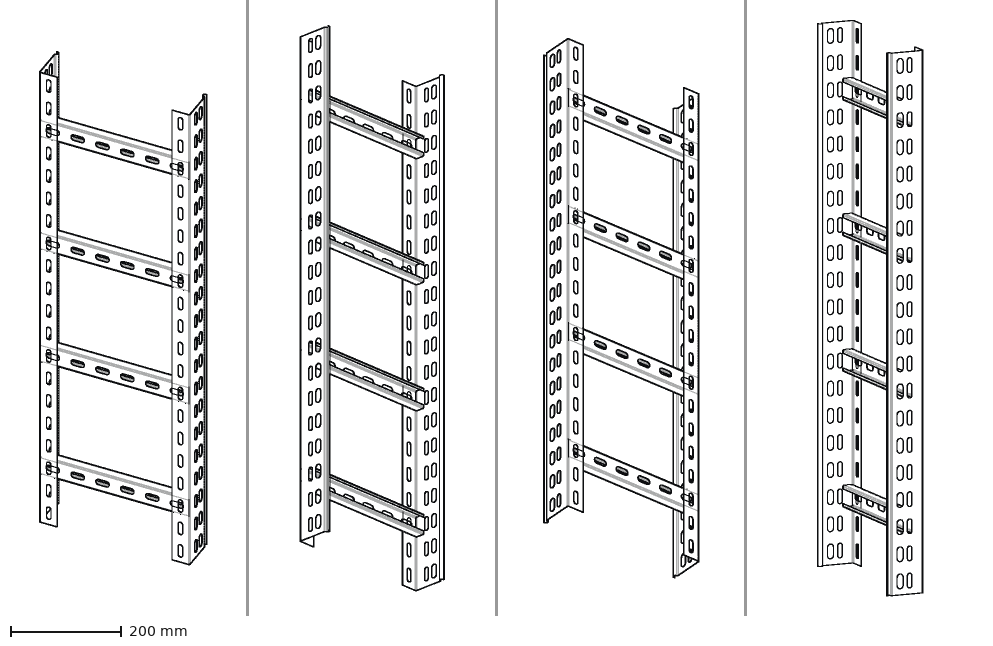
import cadquery as cq
import math

LENGTH = 1000.0
WIDTH = 303.0
DEPTH = 72.0
SHEET = 1.5

SLOT_PITCH = 50.0
SLOT_LENGTH = 27.0
SLOT_COUNT = round(LENGTH / SLOT_PITCH)
RUNG_PITCH = 5 * SLOT_PITCH
RUNG_COUNT = 4

OUTER_X = WIDTH / 2
FRONT_Y = -DEPTH / 2
FLANGE_WIDTH = 36.0
RAIL_BEND_RADIUS = 2.5
FLANGE_SLOT_INSET = 19.0
FLANGE_SLOT_WIDTH = 9.0
NARROW_SLOT_WIDTH = 9.0
WIDE_SLOT_WIDTH = 12.0
NARROW_SLOT_INSET = 27.0
WIDE_SLOT_INSET = 46.0

NECK_RADIUS = 3.0
NECK_ANGLE = 85
CURL_RADIUS = 4.5
CURL_END = 120
CURL_BORE = CURL_RADIUS - SHEET
NECK_TO_CURL = NECK_RADIUS + CURL_BORE
CURL_Y = DEPTH / 2 - CURL_RADIUS
NECK_CENTRE = (
    -OUTER_X + NECK_RADIUS,
    CURL_Y - NECK_TO_CURL * math.sin(math.radians(NECK_ANGLE)),
)
CURL_CENTRE = (
    NECK_CENTRE[0] - NECK_TO_CURL * math.cos(math.radians(NECK_ANGLE)),
    CURL_Y,
)

RUNG_HEIGHT = 41.0
RUNG_DEPTH = 21.0
RUNG_LIP = 7.0
RUNG_BEND_RADIUS = 3.0
RUNG_SLOT_WIDTH = 12.0
RUNG_SLOT_COUNT = 6
RUNG_LENGTH = WIDTH - 2 * RAIL_BEND_RADIUS
RUNG_FRONT_Y = FRONT_Y + SHEET


def centred_row(count, pitch):
    """Positions of evenly spaced items, centred on zero."""
    return [(i - (count - 1) / 2) * pitch for i in range(count)]


def polar(centre, radius, degrees):
    """Point at a given angle and radius around a centre."""
    angle = math.radians(degrees)
    return (centre[0] + radius * math.cos(angle), centre[1] + radius * math.sin(angle))


def neck_point(radius, turned):
    """Point on the inward bend after it has turned by the given angle."""
    return polar(NECK_CENTRE, radius, 180 - turned)


def curl_point(radius, degrees):
    return polar(CURL_CENTRE, radius, degrees)


def rail_sheet():
    """Flange, web and rolled rear edge of the left rail, bent from one sheet, along Z."""
    web_inner_x = -OUTER_X + SHEET
    flange_tip_x = -OUTER_X + FLANGE_WIDTH
    bend_x = -OUTER_X + RAIL_BEND_RADIUS
    bend_y = FRONT_Y + RAIL_BEND_RADIUS
    neck_inner = NECK_RADIUS - SHEET
    curl_middle = (CURL_END - NECK_ANGLE) / 2
    section = (
        cq.Workplane("XY", origin=(0, 0, -LENGTH / 2))
        .moveTo(flange_tip_x, FRONT_Y)
        .lineTo(bend_x, FRONT_Y)
        .radiusArc((-OUTER_X, bend_y), RAIL_BEND_RADIUS)
        .lineTo(-OUTER_X, NECK_CENTRE[1])
        .threePointArc(neck_point(NECK_RADIUS, NECK_ANGLE / 2), neck_point(NECK_RADIUS, NECK_ANGLE))
        .threePointArc(curl_point(CURL_BORE, curl_middle), curl_point(CURL_BORE, CURL_END))
        .lineTo(*curl_point(CURL_RADIUS, CURL_END))
        .threePointArc(curl_point(CURL_RADIUS, curl_middle), curl_point(CURL_RADIUS, -NECK_ANGLE))
        .threePointArc(neck_point(neck_inner, NECK_ANGLE / 2), neck_point(neck_inner, 0))
        .lineTo(web_inner_x, bend_y)
        .radiusArc((bend_x, FRONT_Y + SHEET), SHEET - RAIL_BEND_RADIUS)
        .lineTo(flange_tip_x, FRONT_Y + SHEET)
        .close()
    )
    return section.extrude(LENGTH)


def web_slots(width, inset):
    """Row of upright slots through the web of the left rail."""
    places = [(FRONT_Y + inset, z) for z in centred_row(SLOT_COUNT, SLOT_PITCH)]
    return (
        cq.Workplane("YZ", origin=(-OUTER_X, 0, 0))
        .pushPoints(places)
        .slot2D(SLOT_LENGTH, width, 90)
        .extrude(SHEET)
    )


def flange_slots():
    """Row of upright slots through the flange of the left rail."""
    places = [(-OUTER_X + FLANGE_SLOT_INSET, z) for z in centred_row(SLOT_COUNT, SLOT_PITCH)]
    return (
        cq.Workplane("XZ", origin=(0, FRONT_Y, 0))
        .pushPoints(places)
        .slot2D(SLOT_LENGTH, FLANGE_SLOT_WIDTH, 90)
        .extrude(-SHEET)
    )


def make_left_rail():
    return (
        rail_sheet()
        .cut(web_slots(WIDE_SLOT_WIDTH, WIDE_SLOT_INSET))
        .cut(web_slots(NARROW_SLOT_WIDTH, NARROW_SLOT_INSET))
        .cut(flange_slots())
    )


def rung_channel():
    """Lipped channel along X, its open side facing the rear."""
    outside = (
        cq.Workplane("XY")
        .box(RUNG_LENGTH, RUNG_DEPTH, RUNG_HEIGHT)
        .edges("|X")
        .fillet(RUNG_BEND_RADIUS)
    )
    inside = (
        cq.Workplane("XY")
        .box(RUNG_LENGTH, RUNG_DEPTH - 2 * SHEET, RUNG_HEIGHT - 2 * SHEET)
        .edges("|X")
        .fillet(RUNG_BEND_RADIUS - SHEET)
    )
    mouth = cq.Workplane("XY").box(
        RUNG_LENGTH, RUNG_DEPTH, RUNG_HEIGHT - 2 * RUNG_LIP, centered=(True, False, True)
    )
    return outside.cut(inside).cut(mouth)


def rung_slots():
    """Row of slots along X through the front wall of the rung."""
    places = [(x, 0) for x in centred_row(RUNG_SLOT_COUNT, SLOT_PITCH)]
    return (
        cq.Workplane("XZ", origin=(0, -RUNG_DEPTH / 2, 0))
        .pushPoints(places)
        .slot2D(SLOT_LENGTH, RUNG_SLOT_WIDTH)
        .extrude(-SHEET)
    )


def make_rung(z):
    centre_y = RUNG_FRONT_Y + RUNG_DEPTH / 2
    return rung_channel().cut(rung_slots()).translate((0, centre_y, z))


left_rail = make_left_rail()
right_rail = left_rail.mirror("YZ")
rungs = [make_rung(z) for z in centred_row(RUNG_COUNT, RUNG_PITCH)]

result = cq.Compound.makeCompound(
    [left_rail.val(), right_rail.val(), *[rung.val() for rung in rungs]]
)